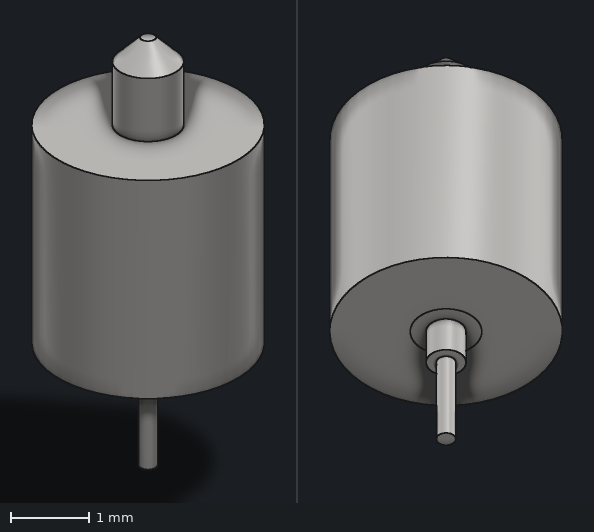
import cadquery as cq

housing_diameter = 2.972
housing_height = 3.18

post_diameter = 0.914
post_exposed_height = 0.92
tip_diameter = 0.21
tip_height = 0.35
collar_diameter = 0.51
collar_height = 0.51
tail_diameter = 0.25
tail_length = 1.27

post_top = housing_height + post_exposed_height
tip_top = post_top + tip_height
collar_bottom = -collar_height
tail_bottom = collar_bottom - tail_length


def make_housing():
    """Barrel with a straight through bore that fits the post."""
    return (
        cq.Workplane("XY")
        .circle(housing_diameter / 2)
        .circle(post_diameter / 2)
        .extrude(housing_height)
    )


def make_pin():
    """Tail, collar, post and conical tip as one half profile turned about Z."""
    return (
        cq.Workplane("XZ")
        .moveTo(0, tail_bottom)
        .lineTo(tail_diameter / 2, tail_bottom)
        .lineTo(tail_diameter / 2, collar_bottom)
        .lineTo(collar_diameter / 2, collar_bottom)
        .lineTo(collar_diameter / 2, 0)
        .lineTo(post_diameter / 2, 0)
        .lineTo(post_diameter / 2, post_top)
        .lineTo(tip_diameter / 2, tip_top)
        .lineTo(0, tip_top)
        .close()
        .revolve(360, (0, 0), (0, 1))
    )


housing = make_housing()
pin = make_pin()

result = cq.Compound.makeCompound([housing.val(), pin.val()])